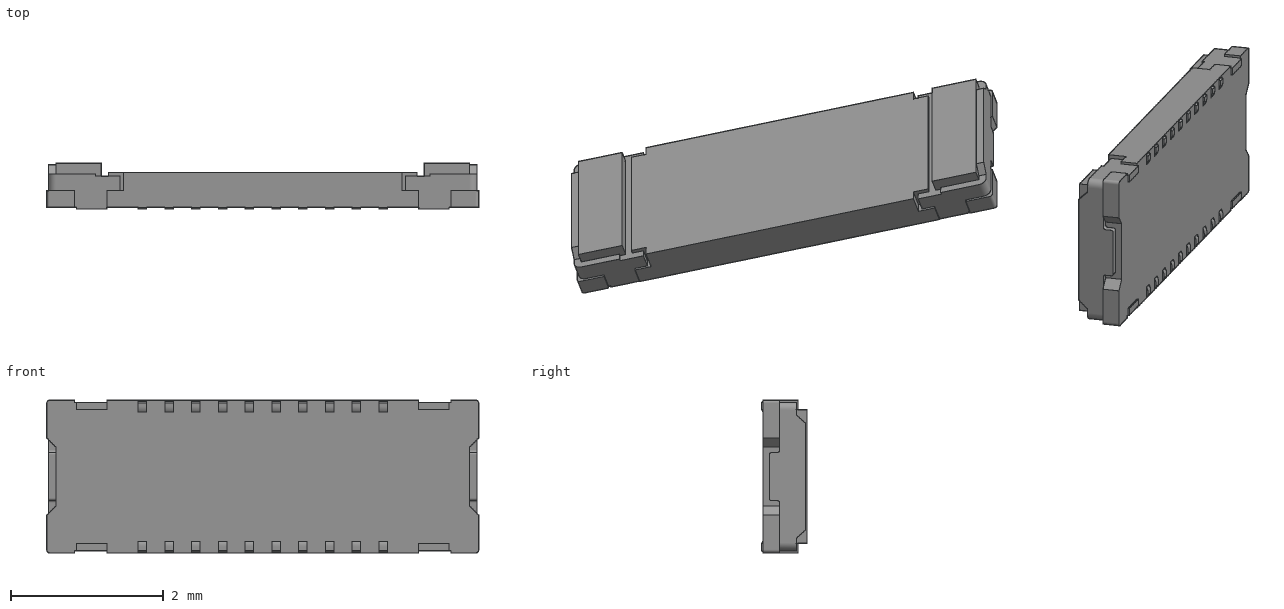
import cadquery as cq


length = 5.65
width = 2.0
base_depth = 0.22
base_corner_radius = 0.04
centre_depth = 0.46
centre_half_length = 1.82
ledge_half_length = 2.02
end_block_depth = 0.58
end_block_inner_x = 2.11
inner_width = 1.75

notch_depth = 0.12
notch_mouth_half_width = 0.505
notch_floor_half_width = 0.385

fitting_half_length = 2.805
fitting_thickness = 0.1
fitting_width = 1.94
fitting_corner_radius = 0.1
fitting_inner_x = 1.87
fitting_step_x = 2.185
fitting_depth = 0.44
fitting_arm_depth = 0.41
flap_depth = 0.56
flap_tip_half_width = 0.695
flap_root_half_width = 0.805
tongue_front_y = 0.085
tongue_half_width = 0.315
tongue_radius = 0.03

tab_inner_x = 2.04
tab_outer_x = 2.437
tab_recess_outer_x = 2.46
solder_height = 0.02

contacts_per_row = 10
contact_pitch = 0.35
contact_width = 0.11
contact_outer_z = 0.985
contact_flat_outer_z = 0.965
contact_flat_inner_z = 0.915
contact_inner_z = 0.847

half_length = length / 2
half_width = width / 2
inner_half_width = inner_width / 2
fitting_half_width = fitting_width / 2
flap_inner_x = fitting_half_length - fitting_thickness


def block(x_range, y_range, z_range):
    """Axis-aligned box given by its limits along X, Y and Z."""
    limits = (x_range, y_range, z_range)
    sizes = [high - low for low, high in limits]
    corner = tuple(low for low, high in limits)
    return cq.Workplane("XY").box(*sizes, centered=False).translate(corner)


def wide_block(x_range, y_range, half_z):
    """Box that is symmetric about Z = 0."""
    return block(x_range, y_range, (-half_z, half_z))


def on_both_ends(left_end):
    return left_end.union(left_end.mirror("YZ"))


def on_both_sides(upper_side):
    return upper_side.union(upper_side.mirror("XY"))


def end_notch():
    floor_x = -half_length + notch_depth
    return (
        cq.Workplane("XZ")
        .moveTo(-half_length, -notch_mouth_half_width)
        .lineTo(floor_x, -notch_floor_half_width)
        .lineTo(floor_x, notch_floor_half_width)
        .lineTo(-half_length, notch_mouth_half_width)
        .close()
        .extrude(-base_depth)
    )


def housing_base():
    base = wide_block((-half_length, half_length), (0, base_depth), half_width)
    base = base.edges("|Y").fillet(base_corner_radius)
    tab_recess = block(
        (-tab_recess_outer_x, -tab_inner_x), (0, base_depth), (fitting_half_width, half_width)
    )
    return base.cut(on_both_ends(on_both_sides(tab_recess))).cut(on_both_ends(end_notch()))


def housing_centre():
    rear_range = (base_depth, centre_depth)
    centre = wide_block((-centre_half_length, centre_half_length), rear_range, half_width)
    ledges = wide_block((-ledge_half_length, ledge_half_length), rear_range, inner_half_width)
    return centre.union(ledges)


def end_block():
    return wide_block((-flap_inner_x, -end_block_inner_x), (base_depth, end_block_depth), inner_half_width)


def fitting_wrap():
    """Outer shell around the housing end, with lower arms towards the centre."""
    wrap = wide_block(
        (-fitting_half_length, -fitting_step_x), (base_depth, fitting_depth), fitting_half_width
    )
    wrap = wrap.edges("|Y and <X").fillet(fitting_corner_radius)
    arms = wide_block(
        (-fitting_step_x, -fitting_inner_x), (base_depth, fitting_arm_depth), fitting_half_width
    )
    return wrap.union(arms)


def end_flap():
    """Trapezoidal flap standing behind the wrap on the end face."""
    return (
        cq.Workplane("YZ", origin=(-fitting_half_length, 0, 0))
        .moveTo(fitting_depth, -flap_root_half_width)
        .lineTo(flap_depth, -flap_tip_half_width)
        .lineTo(flap_depth, flap_tip_half_width)
        .lineTo(fitting_depth, flap_root_half_width)
        .close()
        .extrude(fitting_thickness)
    )


def end_tongue():
    """Tongue reaching forward into the end notch, with rounded root and tip corners."""
    root_half_width = tongue_half_width + tongue_radius
    tip_half_width = tongue_half_width - tongue_radius
    root_end_y = base_depth - tongue_radius
    tip_start_y = tongue_front_y + tongue_radius
    return (
        cq.Workplane("YZ", origin=(-fitting_half_length, 0, 0))
        .moveTo(base_depth, root_half_width)
        .radiusArc((root_end_y, tongue_half_width), tongue_radius)
        .lineTo(tip_start_y, tongue_half_width)
        .tangentArcPoint((tongue_front_y, tip_half_width), relative=False)
        .lineTo(tongue_front_y, -tip_half_width)
        .tangentArcPoint((tip_start_y, -tongue_half_width), relative=False)
        .lineTo(root_end_y, -tongue_half_width)
        .tangentArcPoint((base_depth, -root_half_width), relative=False)
        .close()
        .extrude(fitting_thickness)
    )


def solder_tab():
    return block(
        (-tab_outer_x, -tab_inner_x), (-solder_height, base_depth), (inner_half_width, fitting_half_width)
    )


def contact(x):
    """Upper-row contact: bevelled outer edge, flat solder face, rounded inner edge."""
    return (
        cq.Workplane("YZ", origin=(x - contact_width / 2, 0, 0))
        .moveTo(base_depth, contact_outer_z)
        .lineTo(0, contact_outer_z)
        .lineTo(-solder_height, contact_flat_outer_z)
        .lineTo(-solder_height, contact_flat_inner_z)
        .tangentArcPoint((0, contact_inner_z), relative=False)
        .lineTo(base_depth, contact_inner_z)
        .close()
        .extrude(contact_width)
    )


left_end = fitting_wrap().union(end_block()).union(end_flap()).union(end_tongue())
left_end = left_end.union(on_both_sides(solder_tab()))

result = housing_base().union(housing_centre()).union(on_both_ends(left_end))

first_contact_x = -(contacts_per_row - 1) * contact_pitch / 2
for index in range(contacts_per_row):
    result = result.union(on_both_sides(contact(first_contact_x + index * contact_pitch)))